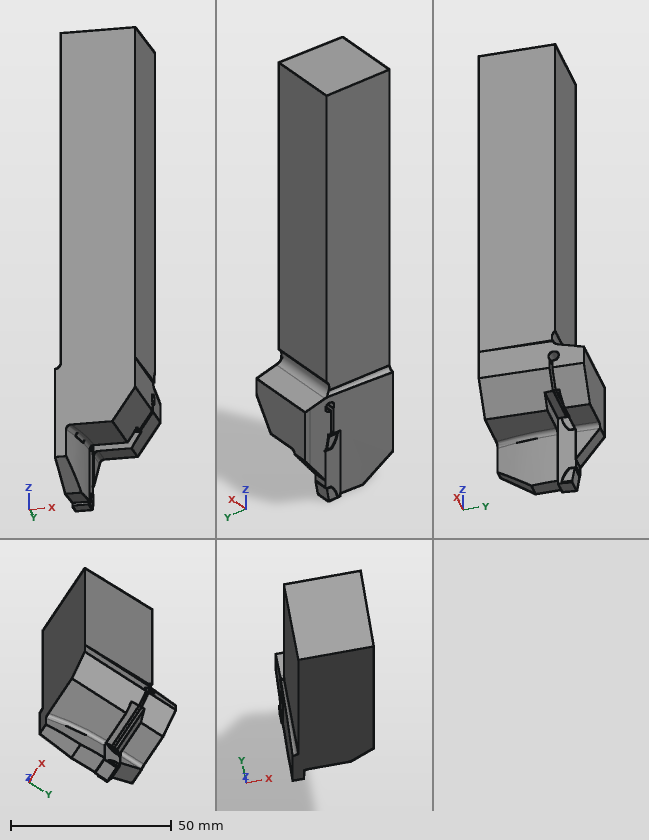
import cadquery as cq

total_height = 150.0
shank_left = 1.8
shank_right_front = 25.8
shank_right_back = 26.2
shank_depth = 24.9
shank_bottom = 40.4

head_right = shank_right_front
head_back = 34.0
head_bottom = 1.2
head_back_top = 36.6
head_back_low = 18.5
flank_end = 32.1
flank_rise = 0.9
flank_mid = (0.52, 12.0)
step_bottom = 38.7
step_radius = shank_left
front_bevel = (11.5, 8.2)
relief_top = 43.6
relief_mid = (23.8, 41.1)
relief_end = (26.2, 38.7)
finger_tip = (26.1, 8.2)

blade_top = 19.8
blade_front_thickness = 3.6
blade_mid = (5.4, 9.0)
blade_back_thickness = 6.3
blade_fillet = 1.5
side_bevel_x = 18.5
side_bevel_top = 30.6

slit_y = 23.4
slit_width = 0.9
hole_y = 24.3
hole_z = 34.8
hole_radius = 1.6

insert_length = 24.8
insert_front = 20.2
insert_back = finger_tip[0]
insert_tip_back = 24.9
rake_back = 25.8
rake_length = 5.2
rake_step = 0.5
body_left = 0.8
body_right = 6.0
tip_overhang = 0.3
tip_corner = 0.5
end_relief = 0.3
tip_front = 21.5
tip_curve_mid = (22.5, 3.3)
tip_curve_end = 24.0

margin = 7.5


def extrude_side(outline, x_start, x_end):
    """Extrude a closed YZ outline between two X positions."""
    return outline.close().extrude(x_end - x_start).translate((x_start, 0, 0))


def make_shank():
    outline = [
        (shank_left, 0),
        (shank_right_front, 0),
        (shank_right_back, shank_depth),
        (shank_left, shank_depth),
    ]
    height = total_height - shank_bottom
    return cq.Workplane("XY", origin=(0, 0, shank_bottom)).polyline(outline).close().extrude(height)


def make_head():
    plan = (
        cq.Workplane("XY")
        .moveTo(0, 0)
        .threePointArc(flank_mid, (flank_rise, flank_end))
        .lineTo(flank_rise, head_back)
        .lineTo(head_right, head_back)
        .lineTo(head_right, 0)
        .close()
        .extrude(shank_bottom)
    )
    side = (
        cq.Workplane("YZ")
        .moveTo(0, head_bottom + front_bevel[1])
        .lineTo(front_bevel[0], head_bottom)
        .lineTo(insert_front, head_bottom)
        .lineTo(*finger_tip)
        .lineTo(head_back, head_back_low)
        .lineTo(head_back, head_back_top)
        .lineTo(*relief_end)
        .lineTo(shank_depth, shank_bottom)
        .lineTo(0, shank_bottom)
    )
    return plan.intersect(extrude_side(side, -margin, head_right + margin))


def make_step_cutter():
    """Concave quarter-round step at the top of the left flank."""
    return (
        cq.Workplane("XZ")
        .moveTo(-margin, step_bottom)
        .lineTo(0, step_bottom)
        .radiusArc((shank_left, step_bottom + step_radius), -step_radius)
        .lineTo(-margin, step_bottom + step_radius)
        .close()
        .extrude(-head_back)
    )


def make_relief_cutter():
    """Rounded groove where the shank back meets the head shoulder."""
    outline = (
        cq.Workplane("YZ")
        .moveTo(shank_depth, relief_top)
        .threePointArc(relief_mid, relief_end)
        .lineTo(shank_depth + margin, relief_end[1])
        .lineTo(shank_depth + margin, relief_top)
    )
    return extrude_side(outline, -margin, shank_right_back + margin)


def make_blade_cutter():
    """Space to the right of the curved blade, with a rounded upper inside corner."""
    cutter = (
        cq.Workplane("XY")
        .moveTo(blade_front_thickness, 0)
        .threePointArc(blade_mid, (blade_back_thickness, insert_front))
        .lineTo(blade_back_thickness, head_back)
        .lineTo(head_right + margin, head_back)
        .lineTo(head_right + margin, 0)
        .close()
        .extrude(blade_top)
    )
    corner_edges = cutter.faces(">Z").edges("not(|X or >X)")
    return corner_edges.fillet(blade_fillet)


def make_side_bevel_cutter():
    outline = [(side_bevel_x, blade_top), (head_right, side_bevel_top), (head_right, blade_top)]
    return cq.Workplane("XZ").polyline(outline).close().extrude(-head_back)


def make_slit_cutter():
    width = shank_right_back
    hole = cq.Workplane("YZ").center(hole_y, hole_z).circle(hole_radius).extrude(width)
    slit = (
        cq.Workplane("YZ")
        .center(slit_y, (insert_length + hole_z) / 2)
        .rect(slit_width, hole_z - insert_length)
        .extrude(width)
    )
    return hole.union(slit)


def make_insert_block(x_start, x_end):
    """Insert side outline, the same at both ends, extruded over a given width."""
    outline = cq.Workplane("YZ").polyline([
        (insert_front, end_relief),
        (insert_tip_back, 0),
        (rake_back, rake_length),
        (insert_back, rake_length + rake_step),
        (insert_back, insert_length - rake_length - rake_step),
        (rake_back, insert_length - rake_length),
        (insert_tip_back, insert_length),
        (insert_front, insert_length - end_relief),
    ])
    return extrude_side(outline, x_start, x_end)


def make_lower_tip():
    """Wider cutting tip at the lower end, with bevelled corners."""
    outline = (
        cq.Workplane("YZ")
        .moveTo(tip_front, 0)
        .threePointArc(tip_curve_mid, (tip_curve_end, rake_length))
        .lineTo(rake_back, rake_length)
        .lineTo(insert_tip_back, 0)
    )
    tip = extrude_side(outline, body_left - tip_overhang, body_right + tip_overhang)
    tip = tip.faces("<Z").edges("|Y").chamfer(tip_corner)
    return tip.intersect(make_insert_block(-margin, head_right))


def make_insert():
    lower_tip = make_lower_tip()
    upper_tip = lower_tip.mirror("XY", (0, 0, insert_length / 2))
    return make_insert_block(body_left, body_right).union(lower_tip).union(upper_tip)


def make_holder():
    holder = make_shank().union(make_head())
    cutters = [
        make_step_cutter(),
        make_relief_cutter(),
        make_blade_cutter(),
        make_side_bevel_cutter(),
        make_slit_cutter(),
        make_insert_block(-margin, head_right + margin),
    ]
    for cutter in cutters:
        holder = holder.cut(cutter)
    return holder


holder = make_holder()
insert = make_insert()

result = cq.Compound.makeCompound([holder.val(), insert.val()])